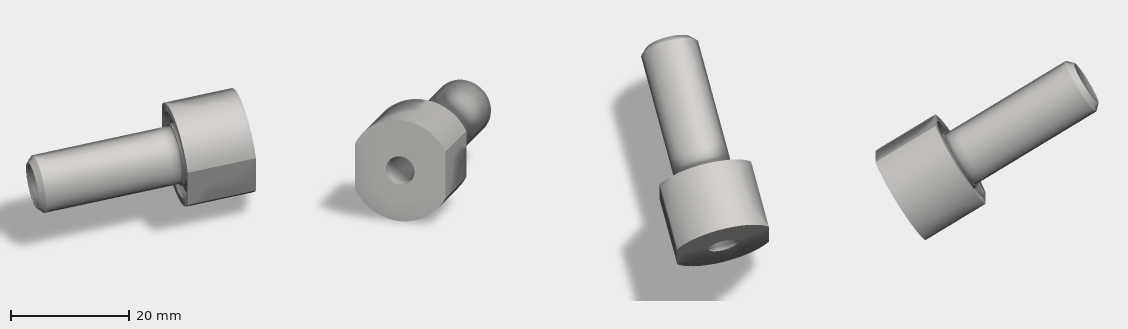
import cadquery as cq

total_length = 37.0
head_length = 12.0
head_radius = 9.0
width_across_flats = 16.0

tube_radius = 5.0
tip_chamfer = 1.0

recess_radius = 7.5
recess_depth = 1.2
collar_radius = 5.4

wide_bore_radius = 3.3
narrow_bore_radius = 2.5
bore_chamfer = 0.5

tip_y = -total_length / 2
back_y = total_length / 2
head_y = back_y - head_length
recess_floor_y = head_y + recess_depth
bore_step_y = head_y


def cylinder(radius, start_y, end_y):
    """Solid cylinder on the Y axis between two positions."""
    circle = cq.Workplane("XZ", origin=(0, start_y, 0)).circle(radius)
    return circle.extrude(start_y - end_y)


def countersink(small_radius, start_y):
    """45 degree cone that opens toward -Y and narrows to small_radius."""
    end_y = start_y + bore_chamfer
    outline = [
        (0, start_y),
        (small_radius + bore_chamfer, start_y),
        (small_radius, end_y),
        (0, end_y),
    ]
    return cq.Workplane("XY").polyline(outline).close().revolve(360, (0, 0, 0), (0, 1, 0))


def make_head():
    """Round head with two flats and a recessed front face."""
    flats = cq.Workplane("XY").box(width_across_flats, 2 * total_length, 2 * head_radius)
    head = cylinder(head_radius, head_y, back_y).intersect(flats)
    return head.cut(cylinder(recess_radius, head_y, recess_floor_y))


def make_tube():
    """Tube with a chamfered tip and a collar at its root, both reaching the back of the head."""
    tube = cylinder(tube_radius, tip_y, back_y).faces("<Y").chamfer(tip_chamfer)
    collar = cylinder(collar_radius, head_y, back_y)
    return tube.union(collar)


def make_bore():
    """Through bore with one step, countersunk at the tip and at the step."""
    bore = cylinder(narrow_bore_radius, tip_y, back_y)
    bore = bore.union(cylinder(wide_bore_radius, tip_y, bore_step_y))
    bore = bore.union(countersink(wide_bore_radius, tip_y))
    return bore.union(countersink(narrow_bore_radius, bore_step_y))


result = make_head().union(make_tube()).cut(make_bore())